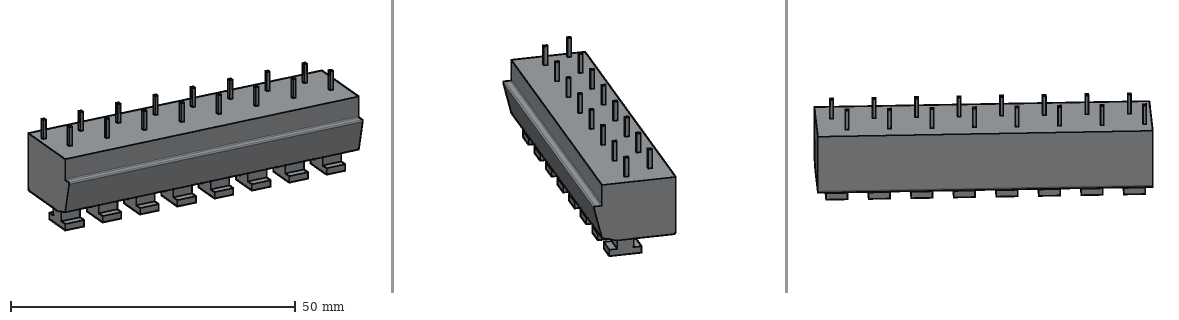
import cadquery as cq
import math

body_length = 59.0
overall_width = 15.0
overall_height = 18.1
pin_height = 3.6
foot_height = 3.6

body_width = 13.5
body_bottom = foot_height
body_top = overall_height - pin_height
lip_top = 10.55
lip_tip_radius = 0.25
lip_root_radius = 0.2
heel_height = 4.35
flat_bottom_end = 10.8
bottom_fillet = 0.55

position_count = 8
pitch = 7.5

pin_size_x = 0.7
pin_size_y = 0.6
pin_stagger = 2.5
outer_row_x = 3.3
row_spacing = 5.0
first_pin_setback = 2.8

button_center_x = 8.75
button_length = 3.8
stem_width = 3.0
cap_width = 5.9
cap_thickness = 1.25
first_button_setback = 3.6


def y_positions(first_setback):
    """Y of each repeated feature, starting near the +Y end."""
    return [body_length - first_setback - i * pitch for i in range(position_count)]


def make_housing():
    """Constant section along Y with a round-tipped latch lip on the +X side."""
    tip_x = overall_width - lip_tip_radius
    tip_z = lip_top - lip_tip_radius

    def on_tip(angle):
        """Point on the lip tip circle at an angle measured from +X."""
        return (
            tip_x + lip_tip_radius * math.cos(angle),
            tip_z + lip_tip_radius * math.sin(angle),
        )

    run = tip_x - body_width
    rise = tip_z - heel_height
    slope = math.atan2(rise, run) - math.asin(lip_tip_radius / math.hypot(run, rise))
    tangent_angle = slope - math.pi / 2

    housing = (
        cq.Workplane("XZ")
        .moveTo(0, body_bottom)
        .lineTo(flat_bottom_end, body_bottom)
        .lineTo(body_width, heel_height)
        .lineTo(*on_tip(tangent_angle))
        .threePointArc(on_tip(0), (tip_x, lip_top))
        .lineTo(body_width, lip_top)
        .lineTo(body_width, body_top)
        .lineTo(0, body_top)
        .close()
        .extrude(-body_length)
    )
    housing = housing.edges("|Y and <X").edges("<Z").fillet(bottom_fillet)
    lip_root = cq.selectors.NearestToPointSelector((body_width, body_length / 2, lip_top))
    return housing.edges("|Y").edges(lip_root).fillet(lip_root_radius)


def make_pins():
    """Both rows of rectangular pins standing on the housing top."""
    inner_row = [
        (outer_row_x + row_spacing, y) for y in y_positions(first_pin_setback)
    ]
    outer_row = [
        (outer_row_x, y) for y in y_positions(first_pin_setback + pin_stagger)
    ]
    return (
        cq.Workplane("XY", origin=(0, 0, body_top))
        .pushPoints(inner_row + outer_row)
        .rect(pin_size_x, pin_size_y)
        .extrude(pin_height)
    )


def make_buttons():
    """A stem and a wider cap hanging below the housing at each position."""
    centers = [(button_center_x, y) for y in y_positions(first_button_setback)]
    base = cq.Workplane("XY").pushPoints(centers)
    stems = base.rect(stem_width, button_length).extrude(body_bottom)
    caps = base.rect(cap_width, button_length).extrude(cap_thickness)
    return stems.union(caps)


result = make_housing().union(make_pins()).union(make_buttons())